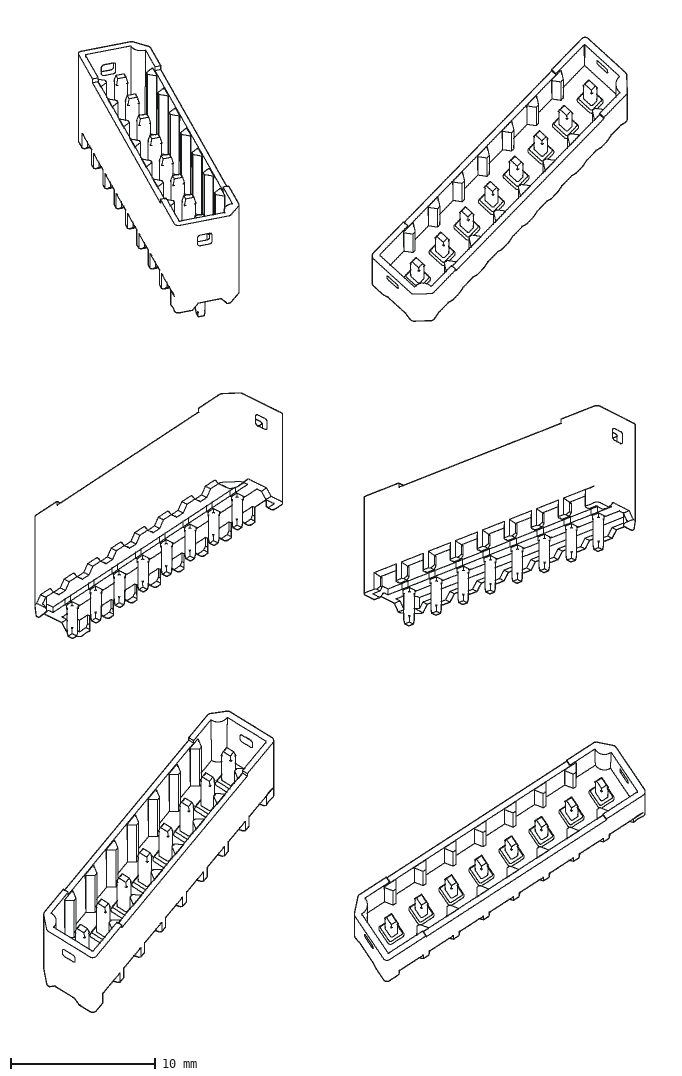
import cadquery as cq

PIN_COUNT = 8
PITCH = 2.5

LENGTH = 21.72
DEPTH = 5.0
HEIGHT = 7.5
OUTER_CHAMFER = 1.0
CORNER_RADIUS = 0.3

SIDE_WALL = 0.48
END_WALL = 0.55
CAVITY_DRAFT = 0.6
FLOOR_BOTTOM = 0.98
FLOOR_TOP = 2.0
CORNER_POST_RADIUS = 0.75

RIB_BASE = 0.95
RIB_TIP = 0.24
RIB_REACH = 0.52
RIB_TOP = 7.05

RIM_STEP_SPAN = 6 * PITCH
RIM_STEP_DEPTH = 0.33

COLLAR_X = 1.3
COLLAR_Y = 1.5
COLLAR_CORNER = 0.22
COLLAR_HEIGHT = 0.43
COLLAR_DRAFT = 14.0

WINDOW_WIDTH = 1.05
WINDOW_HEIGHT = 0.91
WINDOW_RADIUS = 0.2
WINDOW_Y = -0.37
WINDOW_Z = 5.86

NOTCH_HEIGHT = 0.52
END_NOTCH_BASE = 2.52
END_NOTCH_TOP = 1.7
PIN_NOTCH_BASE = 1.8
PIN_NOTCH_TOP = 1.0
SLOT_WIDTH = 2.05
SLOT_HEIGHT = 1.28
SLOT_TAPER = 0.3
SLOT_TAPER_DEPTH = 0.3
SCOOP_DEPTH = 0.05

PIN_WIDTH = 0.59
BLADE_DEPTH = 0.85
BLADE_BOTTOM = NOTCH_HEIGHT
BLADE_SHOULDER = 5.8
PIN_TOP = 6.3
TIP_WIDTH = 0.41
TIP_DEPTH = 0.6
TAIL_LENGTH = 2.1
TAIL_TIP_LENGTH = 0.52
TAIL_TIP_WIDTH = 0.43
PIN_EDGE_RADIUS = 0.1
TAIL_ROUND_TOP = 0.22

INNER_LENGTH = LENGTH - 2 * END_WALL
INNER_DEPTH = DEPTH - 2 * SIDE_WALL
PIN_POSITIONS = [(i - (PIN_COUNT - 1) / 2) * PITCH for i in range(PIN_COUNT)]
RIB_POSITIONS = [x + PITCH / 2 for x in PIN_POSITIONS[:-1]]


def block(x_size, y_size, z_low, z_high, x=0.0, y=0.0):
    """Upright box centred at (x, y)."""
    return (
        cq.Workplane("XY", origin=(x, y, z_low))
        .rect(x_size, y_size)
        .extrude(z_high - z_low)
    )


def frustum(x, z_low, size_low, z_high, size_high):
    """Straight-sided transition between two rectangles centred at (x, 0)."""
    return (
        cq.Workplane("XY", origin=(x, 0, z_low))
        .rect(*size_low)
        .workplane(offset=z_high - z_low)
        .rect(*size_high)
        .loft(combine=True)
    )


def trapezoid_groove(plane, origin, base, top, length):
    """Groove cutter on the underside, wider at the bottom, centred along its length."""
    return (
        cq.Workplane(plane, origin=origin)
        .polyline([(-base / 2, 0), (base / 2, 0), (top / 2, NOTCH_HEIGHT), (-top / 2, NOTCH_HEIGHT)])
        .close()
        .extrude(length / 2, both=True)
    )


def shell():
    """Outer block with its cavity above the floor and recess below it."""
    body = block(LENGTH, DEPTH, 0, HEIGHT)
    body = body.edges("|Z and >Y").chamfer(OUTER_CHAMFER)
    body = body.edges("|Z").fillet(CORNER_RADIUS)
    cavity = (
        cq.Workplane("XY", origin=(0, 0, FLOOR_TOP))
        .rect(INNER_LENGTH, INNER_DEPTH)
        .extrude(HEIGHT - FLOOR_TOP, taper=-CAVITY_DRAFT)
    )
    recess = block(INNER_LENGTH, INNER_DEPTH, 0, FLOOR_BOTTOM)
    for side in (-1, 1):
        post = (
            cq.Workplane("XY", origin=(side * INNER_LENGTH / 2, INNER_DEPTH / 2, 0))
            .circle(CORNER_POST_RADIUS)
            .extrude(HEIGHT)
        )
        cavity = cavity.cut(post)
        recess = recess.cut(post)
    return body.cut(cavity).cut(recess)


def rib(x, side):
    """Keying rib on the inner face of the front (side -1) or back (side 1) wall."""
    wall_y = side * (DEPTH / 2 - SIDE_WALL / 2)
    face_y = side * INNER_DEPTH / 2
    tip_y = face_y - side * RIB_REACH
    return (
        cq.Workplane("XY", origin=(x, 0, FLOOR_BOTTOM))
        .polyline(
            [
                (-RIB_BASE / 2, wall_y),
                (-RIB_BASE / 2, face_y),
                (-RIB_TIP / 2, tip_y),
                (RIB_TIP / 2, tip_y),
                (RIB_BASE / 2, face_y),
                (RIB_BASE / 2, wall_y),
            ]
        )
        .close()
        .extrude(RIB_TOP - FLOOR_BOTTOM)
    )


def collar(x):
    """Drafted boss on the floor around a pin."""
    return (
        cq.Workplane("XY", origin=(x, 0, FLOOR_TOP))
        .sketch()
        .rect(COLLAR_X, COLLAR_Y)
        .vertices()
        .fillet(COLLAR_CORNER)
        .finalize()
        .extrude(COLLAR_HEIGHT, taper=COLLAR_DRAFT)
    )


def end_window():
    """Rounded window through both end walls."""
    return (
        cq.Workplane("YZ", origin=(0, WINDOW_Y, WINDOW_Z))
        .sketch()
        .rect(WINDOW_WIDTH, WINDOW_HEIGHT)
        .vertices()
        .fillet(WINDOW_RADIUS)
        .finalize()
        .extrude(LENGTH, both=True)
    )


def front_slot(x):
    """Slot through the front wall at a pin, narrowing behind its mouth."""
    inner_width = SLOT_WIDTH - 2 * SLOT_TAPER
    inner_height = SLOT_HEIGHT - SLOT_TAPER
    mouth = (
        cq.Workplane("XZ", origin=(x, -DEPTH / 2, 0))
        .rect(SLOT_WIDTH, 2 * SLOT_HEIGHT)
        .workplane(offset=-SLOT_TAPER_DEPTH)
        .rect(inner_width, 2 * inner_height)
        .loft(combine=True)
    )
    throat_y = -DEPTH / 2 + SIDE_WALL / 2
    throat = block(inner_width, SIDE_WALL, 0, inner_height, x, throat_y)
    return mouth.union(throat)


def end_scoop():
    """Shallow concave scoop in the front face, beside the last slot."""
    x_low = PIN_POSITIONS[-1] + SLOT_WIDTH / 2
    x_high = LENGTH / 2 - CORNER_RADIUS
    front_y = -DEPTH / 2
    return (
        cq.Workplane("XY")
        .moveTo(x_low, front_y)
        .threePointArc(((x_low + x_high) / 2, front_y + SCOOP_DEPTH), (x_high, front_y))
        .close()
        .extrude(SLOT_HEIGHT)
    )


def make_pin(x):
    """Square root in the floor, round-edged blade and tapered tip above, round-edged tail below."""
    root = block(PIN_WIDTH, BLADE_DEPTH, BLADE_BOTTOM, FLOOR_TOP, x)
    blade = block(PIN_WIDTH, BLADE_DEPTH, FLOOR_TOP, BLADE_SHOULDER, x)
    blade = blade.edges("|Z").fillet(PIN_EDGE_RADIUS)
    tip = frustum(x, BLADE_SHOULDER, (PIN_WIDTH, BLADE_DEPTH), PIN_TOP, (TIP_WIDTH, TIP_DEPTH))
    neck = block(PIN_WIDTH, PIN_WIDTH, TAIL_ROUND_TOP, BLADE_BOTTOM, x)
    tail = block(PIN_WIDTH, PIN_WIDTH, -TAIL_LENGTH, TAIL_ROUND_TOP, x)
    tail = tail.edges("|Z").fillet(PIN_EDGE_RADIUS)
    tail_end = -TAIL_LENGTH + TAIL_TIP_LENGTH
    envelope = block(PIN_WIDTH, PIN_WIDTH, tail_end, TAIL_ROUND_TOP, x).union(
        frustum(x, -TAIL_LENGTH, (TAIL_TIP_WIDTH, TAIL_TIP_WIDTH), tail_end, (PIN_WIDTH, PIN_WIDTH))
    )
    return root.union(blade).union(tip).union(neck).union(tail.intersect(envelope))


def make_housing(pins):
    """Housing with every opening cut and a matching hole for each pin."""
    body = shell()
    body = body.union(block(LENGTH - END_WALL, BLADE_DEPTH, NOTCH_HEIGHT, FLOOR_TOP))
    for x in RIB_POSITIONS:
        for side in (-1, 1):
            body = body.union(rib(x, side))
    body = body.cut(block(RIM_STEP_SPAN, DEPTH, HEIGHT - RIM_STEP_DEPTH, HEIGHT))
    body = body.cut(end_window())
    body = body.cut(trapezoid_groove("YZ", (0, 0, 0), END_NOTCH_BASE, END_NOTCH_TOP, 2 * LENGTH))
    for x in PIN_POSITIONS:
        body = body.union(collar(x))
        body = body.cut(trapezoid_groove("XZ", (x, 0, 0), PIN_NOTCH_BASE, PIN_NOTCH_TOP, 2 * DEPTH))
        body = body.cut(front_slot(x))
    body = body.cut(end_scoop())
    for pin in pins:
        body = body.cut(pin)
    return body


pins = [make_pin(x) for x in PIN_POSITIONS]
housing = make_housing(pins)

result = cq.Compound.makeCompound([housing.val(), *[pin.val() for pin in pins]])